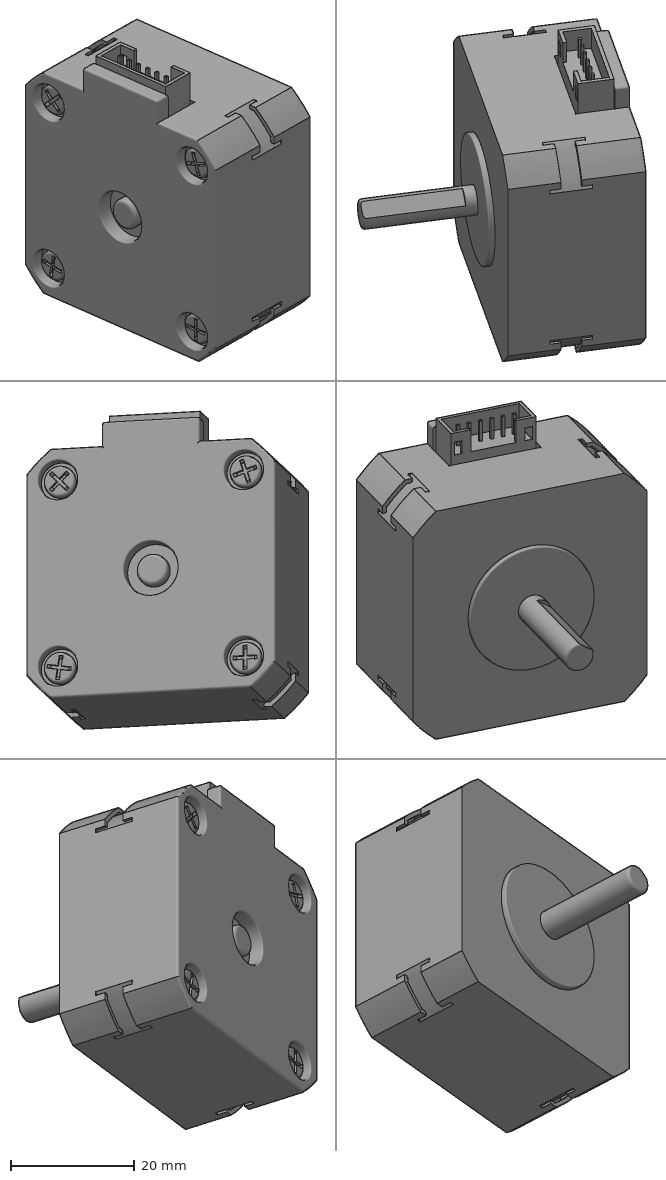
import cadquery as cq
import math


body_width = 41.5
body_half = body_width / 2
body_length = 23.0
corner_radius = 26.65
shell_thickness = 0.75
rear_edge_fillet = 0.4

flange_diameter = 22.0
flange_height = 1.0
flange_fillet = 0.2
shaft_diameter = 5.0
shaft_radius = shaft_diameter / 2
shaft_tip_y = 43.0
shaft_end_fillet = 0.5
flat_length = 17.0
flat_distance = 2.0
flat_angle = 125.0

rear_recess_diameter = 9.0
rear_recess_depth = 2.65
rear_shaft_diameter = 5.2
rear_shaft_end_y = 0.85
rear_shaft_fillet = 0.6
recess_rim_fillet = 0.25

screw_spacing = 31.0
screw_recess_diameter = 6.5
screw_recess_depth = 2.0
screw_head_diameter = 5.2
screw_head_fillet = 0.5
screw_head_y = 0.9
cross_length = 4.0
cross_width = 0.6
cross_depth = 0.5
cross_end_slope = 0.5
screws = [(-1, 1, 45.0), (1, 1, 18.0), (-1, -1, -9.0), (1, -1, 0.0)]

groove_radius = 25.46
groove_center_y = 12.45
groove_width = 3.45
groove_bar_length = 7.05
groove_bar_offset = 15.45

tab_width = 16.3
tab_top_z = 24.75
tab_thickness = 2.5

pocket_front_y = 9.0
pocket_bottom_z = 5.5
core_diameter = 22.0

connector_center_x = 0.05
connector_width = 15.1
connector_front_y = 8.5
connector_top_z = 26.25
connector_wall = 0.65
connector_cavity_depth = 4.0
connector_notch_width = 8.0
window_width = 1.3
window_height = 2.3
pin_count = 6
pin_pitch = 2.0
pin_size = 0.5
pin_height = 3.65


def box(x0, x1, y0, y1, z0, z1):
    return cq.Workplane("XY").box(x1 - x0, y1 - y0, z1 - z0, centered=False).translate((x0, y0, z0))


def cylinder(diameter, y0, y1):
    """Cylinder about the Y axis. The XZ plane faces -Y, so the extrusion length is negative."""
    return cq.Workplane("XZ", origin=(0, y0, 0)).circle(diameter / 2).extrude(y0 - y1)


def make_body():
    """Block and rear tab, with all edges of the flat rear face rounded."""
    block = box(-body_half, body_half, 0, body_length, -body_half, body_half)
    block = block.intersect(cylinder(2 * corner_radius, 0, body_length))
    tab = box(-tab_width / 2, tab_width / 2, 0, tab_thickness, 0, tab_top_z)
    tab = tab.edges("|Y and >Z").fillet(rear_edge_fillet)
    return block.union(tab).faces("<Y").edges().fillet(rear_edge_fillet)


def make_grooves():
    """Tool for all four grooves: everything outside the round groove floor."""
    y0 = groove_center_y - groove_width / 2
    y1 = groove_center_y + groove_width / 2
    bar_y0 = groove_center_y - groove_bar_length / 2
    bar_y1 = groove_center_y + groove_bar_length / 2
    stem = box(-body_half, body_half, y0, y1, -body_half, body_half)
    bar_layer = box(-groove_bar_offset, groove_bar_offset, bar_y0, bar_y1, -body_half, body_half)
    bars = bar_layer.union(bar_layer.rotate((0, 0, 0), (0, 1, 0), 90))
    inner_half = body_half - shell_thickness
    undercut = box(-inner_half, inner_half, bar_y0, bar_y1, -inner_half, inner_half)
    undercut = undercut.intersect(cylinder(2 * (corner_radius - shell_thickness), bar_y0, bar_y1))
    return stem.union(bars).union(undercut).cut(cylinder(2 * groove_radius, bar_y0, bar_y1))


def make_shaft():
    """Shaft with a flat at its tip and a slightly thicker end standing in the rear recess."""
    shaft = cylinder(shaft_diameter, rear_recess_depth, shaft_tip_y)
    shaft = shaft.faces(">Y").edges().fillet(shaft_end_fillet)
    flat_start_y = shaft_tip_y - flat_length
    flat = box(flat_distance, shaft_radius, flat_start_y, shaft_tip_y, -shaft_radius, shaft_radius)
    shaft = shaft.cut(flat.rotate((0, 0, 0), (0, 1, 0), -flat_angle))
    rear_end = cylinder(rear_shaft_diameter, rear_shaft_end_y, rear_recess_depth)
    rear_end = rear_end.faces("<Y").edges().fillet(rear_shaft_fillet)
    return shaft.union(rear_end)


def make_flange():
    flange = cylinder(flange_diameter, body_length, body_length + flange_height)
    return flange.faces(">Y").edges().fillet(flange_fillet)


def make_recess(diameter, depth):
    """Round recess tool on the Y axis with a rounded rim at Y = 0."""
    rim = diameter / 2 + recess_rim_fillet
    bulge = recess_rim_fillet * (1 - math.sqrt(0.5))
    return (
        cq.Workplane("XY")
        .lineTo(rim, 0)
        .threePointArc((diameter / 2 + bulge, bulge), (diameter / 2, recess_rim_fillet))
        .lineTo(diameter / 2, depth)
        .lineTo(0, depth)
        .close()
        .revolve(360, (0, 0, 0), (0, 1, 0))
    )


def make_cross():
    """Cross slot tool whose arms end in slopes, cut into a head face at Y = 0."""
    half = cross_length / 2
    floor_half = half - cross_end_slope
    arm = (
        cq.Workplane("XY")
        .polyline([(-half, 0), (half, 0), (floor_half, cross_depth), (-floor_half, cross_depth)])
        .close()
        .extrude(cross_width / 2, both=True)
    )
    return arm.union(arm.rotate((0, 0, 0), (0, 1, 0), 90))


def make_screw_head(turn):
    head = cylinder(screw_head_diameter, screw_head_y, screw_recess_depth)
    head = head.faces("<Y").edges().fillet(screw_head_fillet)
    cross = make_cross().rotate((0, 0, 0), (0, 1, 0), -turn)
    return head.cut(cross.translate((0, screw_head_y, 0)))


def make_pocket():
    """Pocket around the connector, ending on the round core."""
    pocket = box(-tab_width / 2, tab_width / 2, tab_thickness, pocket_front_y, pocket_bottom_z, body_half)
    return pocket.cut(cylinder(core_diameter, tab_thickness, pocket_front_y))


def make_connector():
    """Header with a notch and two corner windows in its front wall and a row of pins."""
    half = connector_width / 2
    floor_z = connector_top_z - connector_cavity_depth
    shell = box(-half, half, tab_thickness, connector_front_y, pocket_bottom_z, connector_top_z)
    cavity = box(
        -half + connector_wall,
        half - connector_wall,
        tab_thickness + connector_wall,
        connector_front_y - connector_wall,
        floor_z,
        connector_top_z,
    )
    notch_half = connector_notch_width / 2
    pin_y = (tab_thickness + connector_front_y) / 2
    notch = box(-notch_half, notch_half, pin_y, connector_front_y, floor_z, connector_top_z)
    connector = shell.cut(cavity).cut(notch)
    for side in (-1, 1):
        outer_x = side * (half - connector_wall)
        x0, x1 = sorted((outer_x, outer_x - side * window_width))
        window = box(x0, x1, pin_y, connector_front_y, floor_z, floor_z + window_height)
        connector = connector.cut(window)
    for i in range(pin_count):
        pin_x = (i - (pin_count - 1) / 2) * pin_pitch
        pin = cq.Workplane("XY").rect(pin_size, pin_size).extrude(pin_height)
        connector = connector.union(pin.translate((pin_x, pin_y, floor_z)))
    return connector.translate((connector_center_x, 0, 0))


motor = make_body().cut(make_grooves())
motor = motor.cut(make_recess(rear_recess_diameter, rear_recess_depth))
motor = motor.union(make_flange()).union(make_shaft())
for x_side, z_side, turn in screws:
    place = (x_side * screw_spacing / 2, 0, z_side * screw_spacing / 2)
    motor = motor.cut(make_recess(screw_recess_diameter, screw_recess_depth).translate(place))
    motor = motor.union(make_screw_head(turn).translate(place))
motor = motor.cut(make_pocket()).union(make_connector())

result = motor